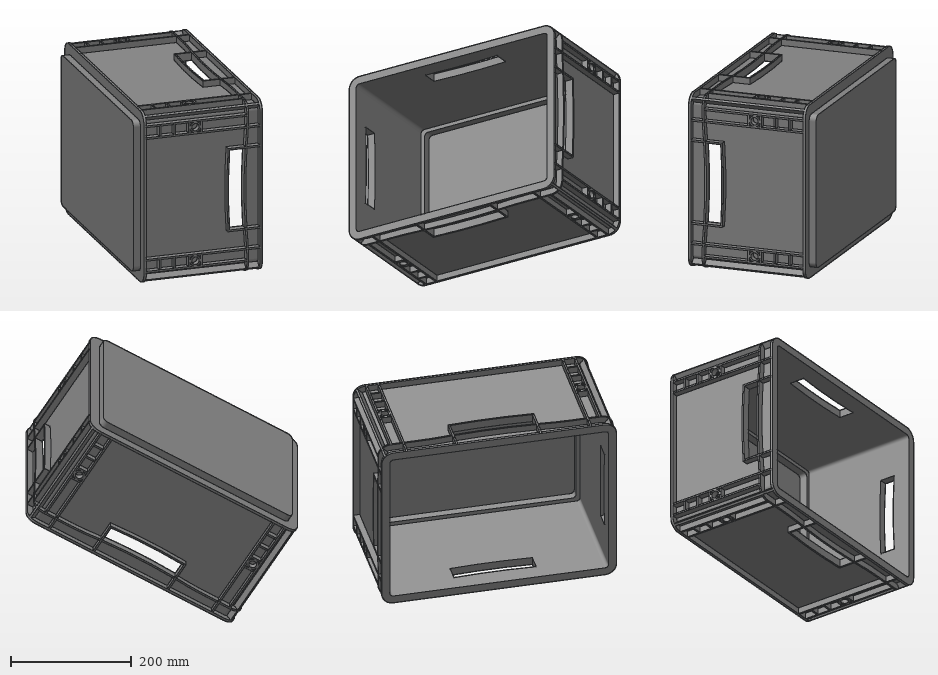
import cadquery as cq
import math

length = 399.0
height = 299.0
depth = 220.0
corner_radius = 20.0
wall = 3.0
rib_depth = 10.8
rib = 3.0
edge_band = 4.5

foot_height = 12.5
foot_inset = 17.5
foot_radius = 10.0

band_drop = 24.5
arc_radius = 1117.2
arc_half = 85.8
blend_radius = 558.5

grip_half = 70.0
grip_drop = 59.5

outer_rib_inset = 20.7
inner_rib_inset = 41.5
cell_first = 105.5
cell_second = 126.5
cell_pitch = 25.5
even_cross_ribs = 3
cross_rib_drops = [cell_first] + [cell_second + i * cell_pitch for i in range(even_cross_ribs)]

socket_outer_radius = 9.5
socket_hole_radius = 6.5

wall_turns = (0, 90, 180, 270)

corner_rib = 4.0

mouth = depth / 2
flange_bottom = -depth / 2 + foot_height
flange_top = flange_bottom + edge_band
rim_bottom = mouth - edge_band
arc_angle = math.asin(arc_half / arc_radius)
blend_end = arc_half + blend_radius * math.sin(arc_angle)
band_sag = (arc_radius + blend_radius) * (1 - math.cos(arc_angle))
band_top = mouth - band_drop
band_low_middle = band_top - rib - band_sag


def rounded_prism(inset, radius, y_start, y_end):
    """Prism along Y whose section is the crate outline moved inwards by inset."""
    return (
        cq.Workplane("XZ", origin=(0, y_start, 0))
        .rect(length - 2 * inset, height - 2 * inset)
        .extrude(y_start - y_end)
        .edges("|Y")
        .fillet(radius)
    )


def rib_block(u_start, u_end, y_start, y_end):
    """Rib in the plane of a wall; it starts below the wall and is trimmed inside later."""
    return (
        cq.Workplane("XY")
        .center((u_start + u_end) / 2, (y_start + y_end) / 2)
        .rect(abs(u_end - u_start), abs(y_end - y_start))
        .extrude(corner_radius)
    )


def arc_rise(u):
    """Rise of the sagging arc above its lowest point."""
    return arc_radius - math.sqrt(arc_radius**2 - u**2)


def band_rib(width):
    """Rib across the wall: straight ends, reversed blends and a sagging middle."""
    end = width / 2
    blend_mid = blend_end - blend_radius * math.sin(arc_angle / 2)
    blend_mid_fall = blend_radius * (1 - math.cos(arc_angle / 2))
    top = band_top
    low = top - rib

    def blend_point(y):
        return y - blend_mid_fall

    def arc_point(y):
        return y - band_sag + arc_rise(arc_half)

    return (
        cq.Workplane("XY")
        .moveTo(-end, top)
        .lineTo(-blend_end, top)
        .threePointArc((-blend_mid, blend_point(top)), (-arc_half, arc_point(top)))
        .threePointArc((0, top - band_sag), (arc_half, arc_point(top)))
        .threePointArc((blend_mid, blend_point(top)), (blend_end, top))
        .lineTo(end, top)
        .lineTo(end, low)
        .lineTo(blend_end, low)
        .threePointArc((blend_mid, blend_point(low)), (arc_half, arc_point(low)))
        .threePointArc((0, low - band_sag), (-arc_half, arc_point(low)))
        .threePointArc((-blend_mid, blend_point(low)), (-blend_end, low))
        .lineTo(-end, low)
        .close()
        .extrude(corner_radius)
    )


def grip_shape(half_width, top_middle, low_middle):
    """Block between two sagging arcs, given the heights of their middles."""
    rise = arc_rise(half_width)
    return (
        cq.Workplane("XY")
        .moveTo(-half_width, top_middle + rise)
        .threePointArc((0, top_middle), (half_width, top_middle + rise))
        .lineTo(half_width, low_middle + rise)
        .threePointArc((0, low_middle), (-half_width, low_middle + rise))
        .close()
        .extrude(corner_radius)
    )


def grip_opening():
    """Hand hole between the band and the lower frame rib."""
    return grip_shape(grip_half, band_low_middle, mouth - grip_drop)


def grip_frame():
    """Block around the grip, opened later, with its side ribs running on up to the rim."""
    frame = grip_shape(grip_half + rib, band_low_middle, mouth - grip_drop - rib)
    for side in (-1, 1):
        top_rib = rib_block(side * grip_half, side * (grip_half + rib), rim_bottom, mouth - grip_drop)
        frame = frame.union(top_rib)
    return frame


def rib_column(width, side):
    """Two upright ribs, the cross ribs between them and the pin socket."""
    outer = side * (width / 2 - outer_rib_inset)
    inner = side * (width / 2 - inner_rib_inset)
    column = rib_block(outer, outer - side * rib, band_top - rib, flange_top)
    column = column.union(rib_block(inner, inner - side * rib, rim_bottom, flange_top))
    for drop in cross_rib_drops:
        column = column.union(rib_block(outer, inner, mouth - drop, mouth - drop - rib))

    socket_u = (outer - side * rib + inner) / 2
    socket_y = mouth - (cell_first + rib + cell_second) / 2
    cell = rib_block(outer, inner, mouth - cell_first, mouth - cell_second)
    socket = cq.Workplane("XY").center(socket_u, socket_y).circle(socket_outer_radius)
    hole = cq.Workplane("XY").center(socket_u, socket_y).circle(socket_hole_radius)
    column = column.union(socket.extrude(corner_radius).intersect(cell))
    return column.cut(hole.extrude(corner_radius))


def wall_ribs(width):
    """All ribs of one wall, standing on the XY plane (u along X)."""
    ribs = band_rib(width).union(grip_frame())
    for side in (-1, 1):
        ribs = ribs.union(rib_column(width, side))
    return ribs


def place_on_wall(shape, turn):
    """Move a shape from the XY plane to the wall reached by turning about Y."""
    reach = height / 2 if turn % 180 == 0 else length / 2
    return shape.translate((0, 0, reach - corner_radius)).rotate((0, 0, 0), (0, 1, 0), turn)


def corner_ribs():
    """Diagonal rib in each rounded upright corner."""
    ribs = cq.Workplane("XY")
    for x_side in (-1, 1):
        for z_side in (-1, 1):
            centre_x = x_side * (length / 2 - corner_radius)
            centre_z = z_side * (height / 2 - corner_radius)
            diagonal = (
                cq.Workplane("XY")
                .box(2 * corner_radius, rim_bottom - flange_top, corner_rib, centered=(False, True, True))
                .rotate((0, 0, 0), (0, 1, 0), -math.degrees(math.atan2(z_side, x_side)))
                .translate((centre_x, (rim_bottom + flange_top) / 2, centre_z))
            )
            ribs = ribs.union(diagonal)
    return ribs


body = rounded_prism(rib_depth, corner_radius - rib_depth, flange_bottom, mouth)
body = body.union(rounded_prism(0, corner_radius, rim_bottom, mouth))
body = body.union(rounded_prism(0, corner_radius, flange_bottom, flange_top))
body = body.union(rounded_prism(foot_inset, foot_radius, -depth / 2, flange_top))

outline = rounded_prism(0, corner_radius, flange_bottom, mouth)
ribs = corner_ribs()
for turn in wall_turns:
    width = length if turn % 180 == 0 else height
    ribs = ribs.union(place_on_wall(wall_ribs(width), turn))
body = body.union(ribs.intersect(outline))

wall_inset = rib_depth + wall
foot_inner_inset = foot_inset + wall
body = body.cut(rounded_prism(wall_inset, corner_radius - wall_inset, flange_top, mouth))
body = body.cut(rounded_prism(foot_inner_inset, foot_radius - wall, wall - depth / 2, flange_top))

for turn in wall_turns:
    body = body.cut(place_on_wall(grip_opening(), turn))

result = body